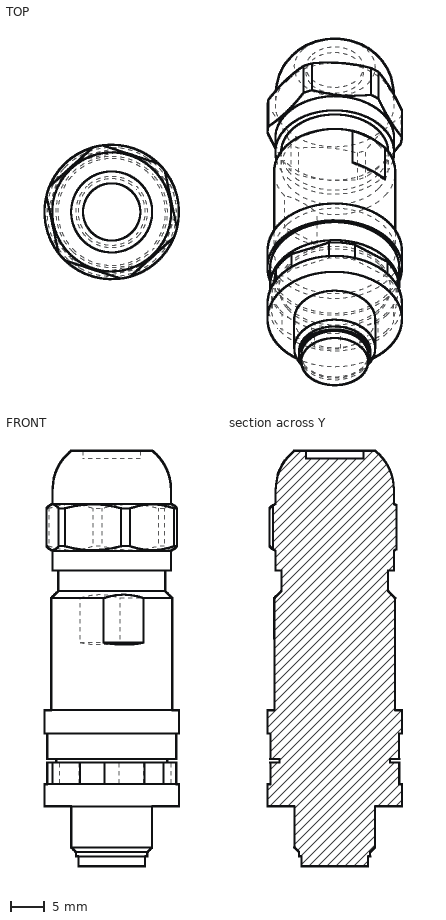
import cadquery as cq
import math


flange_diameter = 20.0
collar_diameter = 19.2
groove_diameter = 16.55
body_diameter = 18.05
neck_diameter = 15.95
cap_diameter = 17.7
cap_top_diameter = 12.05
thread_diameter = 12.05
rim_diameter = 10.6
tip_diameter = 9.95
recess_diameter = 8.5
recess_depth = 1.2

rim_bottom = 1.5
thread_chamfer_bottom = 2.1
lower_flange_bottom = 8.9
lower_flange_top = 12.25
lower_hex_top = 15.45
collar_bottom = 15.95
collar_top = 19.7
body_bottom = 23.25
body_top = 40.9
cap_bottom = 43.95
nut_bottom = 46.9
nut_top = 53.9
dome_bottom = 56.0
total_height = 61.8

nut_across_flats = 18.0
hex_half_step = 30
nut_angle = 72
nut_chamfer_angle = 30
lower_hex_across_flats = 18.25
lower_hex_angle = nut_angle + hex_half_step
body_across_flats = 17.0
body_flat_angle = lower_hex_angle
body_flat_bottom = 33.25
body_flat_ledge_angle = 30


def disc(diameter, bottom, top):
    return cq.Workplane("XY").workplane(offset=bottom).circle(diameter / 2).extrude(top - bottom)


def cone(bottom_diameter, bottom, top_diameter, top):
    outline = [(0, bottom), (bottom_diameter / 2, bottom), (top_diameter / 2, top), (0, top)]
    return cq.Workplane("XZ").polyline(outline).close().revolve(360, (0, 0), (0, 1))


def hex_prism(across_flats, flat_angle, bottom, top):
    """Hexagon with one flat facing the direction flat_angle, in degrees from +X."""
    across_corners = across_flats / math.cos(math.radians(hex_half_step))
    prism = cq.Workplane("XY").workplane(offset=bottom).polygon(6, across_corners).extrude(top - bottom)
    return prism.rotate((0, 0, 0), (0, 0, 1), flat_angle + hex_half_step)


def threaded_end():
    chamfer_top = thread_chamfer_bottom + (thread_diameter - rim_diameter) / 2
    tip = disc(tip_diameter, 0, rim_bottom)
    rim = disc(rim_diameter, rim_bottom, thread_chamfer_bottom)
    chamfer = cone(rim_diameter, thread_chamfer_bottom, thread_diameter, chamfer_top)
    thread = disc(thread_diameter, chamfer_top, lower_flange_bottom)
    return tip.union(rim).union(chamfer).union(thread)


def coupling():
    lower_flange = disc(flange_diameter, lower_flange_bottom, lower_flange_top)
    rounded_hex = hex_prism(
        lower_hex_across_flats, lower_hex_angle, lower_flange_top, lower_hex_top
    ).intersect(disc(collar_diameter, lower_flange_top, lower_hex_top))
    groove = disc(groove_diameter, lower_hex_top, collar_bottom)
    collar = disc(collar_diameter, collar_bottom, collar_top)
    upper_flange = disc(flange_diameter, collar_top, body_bottom)
    return lower_flange.union(rounded_hex).union(groove).union(collar).union(upper_flange)


def flat_cutter():
    """Wedge facing +X that cuts one wrench flat, with a ledge sloping down and outwards."""
    flat_distance = body_across_flats / 2
    outer_distance = body_diameter
    ledge_drop = (outer_distance - flat_distance) * math.tan(math.radians(body_flat_ledge_angle))
    outline = [
        (flat_distance, body_flat_bottom),
        (outer_distance, body_flat_bottom - ledge_drop),
        (outer_distance, body_top),
        (flat_distance, body_top),
    ]
    return cq.Workplane("XZ").polyline(outline).close().extrude(body_diameter / 2, both=True)


def body():
    shoulder_bottom = body_top - (body_diameter - neck_diameter) / 2
    barrel = disc(body_diameter, body_bottom, shoulder_bottom)
    barrel = barrel.union(cone(body_diameter, shoulder_bottom, neck_diameter, body_top))
    for angle in (body_flat_angle, body_flat_angle + 180):
        barrel = barrel.cut(flat_cutter().rotate((0, 0, 0), (0, 0, 1), angle))
    return barrel.union(disc(neck_diameter, body_top, cap_bottom))


def nut():
    """Hexagon whose corners are rounded to the flange size and chamfered at both ends."""
    chamfer_height = (flange_diameter - cap_diameter) / 2 * math.tan(math.radians(nut_chamfer_angle))
    lower_edge = nut_bottom + chamfer_height
    upper_edge = nut_top - chamfer_height
    envelope = cone(cap_diameter, nut_bottom, flange_diameter, lower_edge)
    envelope = envelope.union(disc(flange_diameter, lower_edge, upper_edge))
    envelope = envelope.union(cone(flange_diameter, upper_edge, cap_diameter, nut_top))
    return hex_prism(nut_across_flats, nut_angle, nut_bottom, nut_top).intersect(envelope)


def cap():
    """Cap with a domed end that leaves the cylinder tangentially, and a shallow round recess."""
    cap_radius = cap_diameter / 2
    top_radius = cap_top_diameter / 2
    inset = cap_radius - top_radius
    rise = total_height - dome_bottom
    dome_radius = (rise**2 + inset**2) / (2 * inset)
    half_sweep = math.asin(rise / dome_radius) / 2
    arc_middle = (
        cap_radius - dome_radius * (1 - math.cos(half_sweep)),
        dome_bottom + dome_radius * math.sin(half_sweep),
    )
    outline = (
        cq.Workplane("XZ")
        .moveTo(0, cap_bottom)
        .lineTo(cap_radius, cap_bottom)
        .lineTo(cap_radius, dome_bottom)
        .threePointArc(arc_middle, (top_radius, total_height))
        .lineTo(0, total_height)
        .close()
    )
    recess = disc(recess_diameter, total_height - recess_depth, total_height)
    return outline.revolve(360, (0, 0), (0, 1)).cut(recess)


result = threaded_end().union(coupling()).union(body()).union(cap()).union(nut())